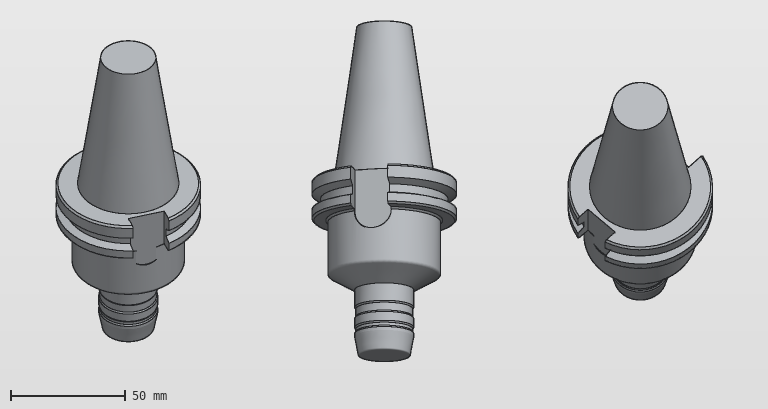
import cadquery as cq
import math

TOTAL_HEIGHT = 148.2

TAPER_RATIO = 7 / 24
TAPER_BASE_RADIUS = 22.2

FLANGE_RADIUS = 31.7
FLANGE_TOP = 79.0
FLANGE_BOTTOM = 61.1
FLANGE_CHAMFER = 0.9
GROOVE_RADIUS = 28.0
GROOVE_TOP = 72.8
GROOVE_FLOOR_TOP = 70.7
GROOVE_FLOOR_BOTTOM = 67.0
GROOVE_BOTTOM = 65.8

BODY_RADIUS = 49.5 / 2
BODY_TOP_FLARE = 0.9
BODY_CORNER_ROUND = 1.5
CONE_BOTTOM = 29.6
CONE_SLOPE = 30
NOSE_RADIUS = 26.0 / 2
NOSE_GROOVE_RADIUS = 25.0 / 2
NOSE_GROOVE_LEAD = 0.7
NOSE_GROOVES = [(21.8, 16.8), (12.7, 10.0)]
TIP_TOP = 8.3
TIP_EDGE_WIDTH = 0.1
TIP_EDGE_HEIGHT = 0.7
TIP_RADIUS = 11.4
TIP_ROUND = 0.7

SLOT_WIDTH = 16.6
DEEP_SLOT_FLAT = 22.0
SHALLOW_SLOT_FLAT = 24.3
SLOT_ARC_CENTRE = 60.2


def turned_body():
    """Revolve the half outline, traced from the top of the shank to the tip."""
    taper_top_radius = TAPER_BASE_RADIUS - (TOTAL_HEIGHT - FLANGE_TOP) * TAPER_RATIO / 2
    cone_top = CONE_BOTTOM + (BODY_RADIUS - NOSE_RADIUS) * math.tan(math.radians(CONE_SLOPE))
    flange_edge = FLANGE_RADIUS - FLANGE_CHAMFER
    shank = [
        (0, TOTAL_HEIGHT),
        (taper_top_radius, TOTAL_HEIGHT),
        (TAPER_BASE_RADIUS, FLANGE_TOP),
    ]
    flange = [
        (flange_edge, FLANGE_TOP),
        (FLANGE_RADIUS, FLANGE_TOP - FLANGE_CHAMFER),
        (FLANGE_RADIUS, GROOVE_TOP),
        (GROOVE_RADIUS, GROOVE_FLOOR_TOP),
        (GROOVE_RADIUS, GROOVE_FLOOR_BOTTOM),
        (FLANGE_RADIUS, GROOVE_BOTTOM),
        (FLANGE_RADIUS, FLANGE_BOTTOM + FLANGE_CHAMFER),
        (flange_edge, FLANGE_BOTTOM),
    ]
    body = [
        (BODY_RADIUS + BODY_TOP_FLARE, FLANGE_BOTTOM),
        (BODY_RADIUS, FLANGE_BOTTOM - BODY_TOP_FLARE),
        (BODY_RADIUS, cone_top),
        (NOSE_RADIUS, CONE_BOTTOM),
    ]
    nose = []
    for upper, lower in NOSE_GROOVES:
        nose += [
            (NOSE_RADIUS, upper),
            (NOSE_GROOVE_RADIUS, upper - NOSE_GROOVE_LEAD),
            (NOSE_GROOVE_RADIUS, lower + NOSE_GROOVE_LEAD),
            (NOSE_RADIUS, lower),
        ]
    nose += [
        (NOSE_RADIUS, TIP_TOP),
        (NOSE_RADIUS - TIP_EDGE_WIDTH, TIP_TOP - TIP_EDGE_HEIGHT),
        (TIP_RADIUS, 0),
        (0, 0),
    ]
    outline = cq.Workplane("XZ").polyline(shank + flange + body + nose).close()
    turned = outline.revolve(360, (0, 0, 0), (0, 1, 0))
    corner = cq.selectors.BoxSelector(
        (-FLANGE_RADIUS, -FLANGE_RADIUS, cone_top - BODY_CORNER_ROUND),
        (FLANGE_RADIUS, FLANGE_RADIUS, cone_top + BODY_CORNER_ROUND),
        boundingbox=True,
    )
    turned = turned.edges("%CIRCLE").edges(corner).fillet(BODY_CORNER_ROUND)
    return turned.faces("<Z").edges().fillet(TIP_ROUND)


def drive_slot(flat_distance):
    """Cutter on the +X side: a flat-floored slot with a half-round lower end."""
    floor = cq.Workplane("YZ", origin=(flat_distance, 0, 0))
    depth = FLANGE_RADIUS - flat_distance
    half_width = SLOT_WIDTH / 2
    return (
        floor.moveTo(-half_width, FLANGE_TOP)
        .lineTo(-half_width, SLOT_ARC_CENTRE)
        .threePointArc((0, SLOT_ARC_CENTRE - half_width), (half_width, SLOT_ARC_CENTRE))
        .lineTo(half_width, FLANGE_TOP)
        .close()
        .extrude(depth)
    )


deep_slot = drive_slot(DEEP_SLOT_FLAT).mirror("YZ")
shallow_slot = drive_slot(SHALLOW_SLOT_FLAT)
result = turned_body().cut(deep_slot).cut(shallow_slot)